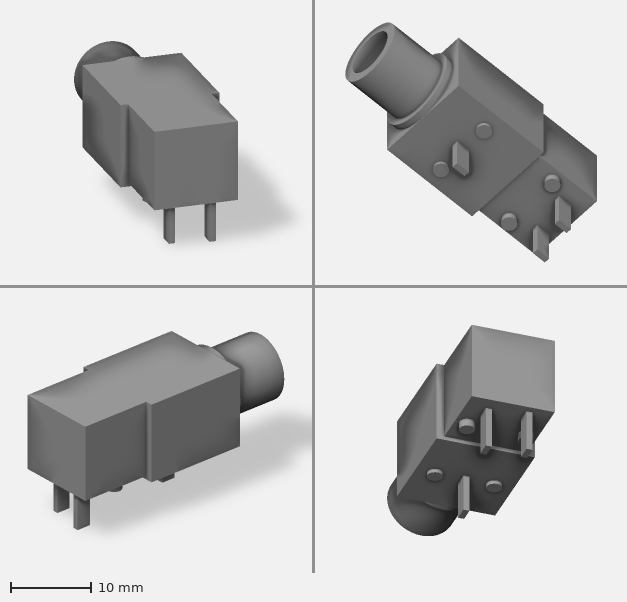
import cadquery as cq

length = 33.5
width = 13.0
height = 16.0

body_start = 9.0
body_end = 23.5
pin_drop = 5.02
body_bottom = pin_drop
rear_width = 11.0
rear_bottom = body_bottom + 0.5

barrel_diameter = 9.0
flange_diameter = 10.9
flange_thickness = 1.0
bore_diameter = 6.35
bore_depth = body_start
axis_z = (body_bottom + height) / 2

peg_diameter = 2.0
peg_bottom = body_bottom - 0.5
peg_y = 3.92
peg_x_positions = (15.78, 27.4)

pin_width = 2.0
pin_thickness = 0.8
pin_spacing = 2.5
pin_places = (
    (15.48, 0),
    (30.52, -pin_spacing),
    (31.52, pin_spacing),
)


def block(x_start, x_end, y_size, z_start, z_end, y_middle=0):
    """Box between two X and two Z limits, centred on y_middle."""
    return (
        cq.Workplane("XY")
        .box(x_end - x_start, y_size, z_end - z_start, centered=(False, True, False))
        .translate((x_start, y_middle, z_start))
    )


def axial_cylinder(diameter, x_start, x_end):
    """Cylinder along the barrel axis."""
    return (
        cq.Workplane("YZ", origin=(x_start, 0, axis_z))
        .circle(diameter / 2)
        .extrude(x_end - x_start)
    )


result = block(body_start, body_end, width, body_bottom, height)
result = result.union(block(body_end, length, rear_width, rear_bottom, height))
result = result.union(axial_cylinder(flange_diameter, body_start - flange_thickness, body_start))
result = result.union(axial_cylinder(barrel_diameter, 0, body_start))
result = result.cut(axial_cylinder(bore_diameter, 0, bore_depth))

for peg_x in peg_x_positions:
    for side in (-1, 1):
        peg = (
            cq.Workplane("XY", origin=(peg_x, side * peg_y, peg_bottom))
            .circle(peg_diameter / 2)
            .extrude(rear_bottom - peg_bottom)
        )
        result = result.union(peg)

for pin_x, pin_y in pin_places:
    pin = block(pin_x - pin_width / 2, pin_x + pin_width / 2, pin_thickness, 0, rear_bottom, pin_y)
    result = result.union(pin)